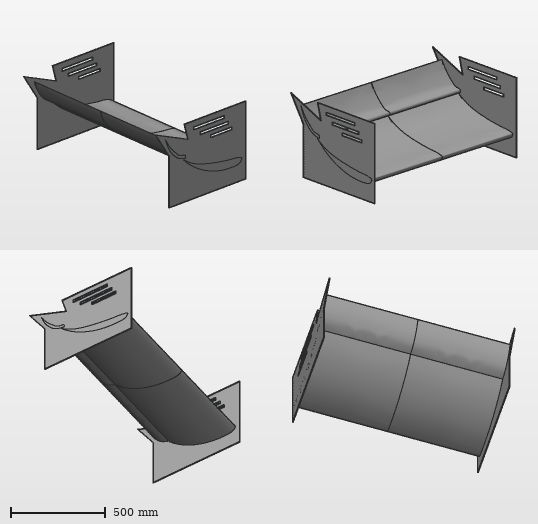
import cadquery as cq

SPAN = 1030.0
PLATE_THICKNESS = 5.0
PLATE_DEPTH = 647.0
PLATE_HEIGHT = 450.0
PANEL_LENGTH = SPAN / 2 - PLATE_THICKNESS

FOOT_FRONT_Y = 96.0
SHOULDER_Z = 300.0
NOTCH_TOP_Y = 206.0
NOTCH_ROOT_Y = 232.0
NOTCH_ROOT_Z = 355.0

SLOT_HEIGHT = 15.0
SLOTS = [(275.0, 493.0, 398.0), (320.0, 522.0, 355.0), (395.0, 547.0, 315.0)]

MAIN_TAIL = (201.0, 246.0)
MAIN_UPPER = [(299.0, 192.0), (433.0, 159.0), (536.0, 144.0), (608.0, 135.0)]
MAIN_NOSE = (621.0, 124.0)
MAIN_LOWER = [(556.0, 95.0), (433.0, 109.0), (299.0, 167.0)]
MAIN_NOSE_DIRECTION = (-0.3, -1)

FLAP_TAIL = (73.0, 400.0)
FLAP_UPPER = [(103.0, 350.0), (149.0, 299.0), (191.0, 273.0)]
FLAP_NOSE = (218.0, 256.0)
FLAP_LOWER = [(201.0, 252.0), (139.0, 284.0), (98.0, 338.0)]
FLAP_NOSE_DIRECTION = (0, -1)


def make_end_plate(start_x):
    """Flat plate with a forward horn, a notch in its top edge and three slots."""
    plate = (
        cq.Workplane("YZ", origin=(start_x, 0, 0))
        .polyline([
            (FOOT_FRONT_Y, 0),
            (PLATE_DEPTH, 0),
            (PLATE_DEPTH, PLATE_HEIGHT),
            (NOTCH_TOP_Y, PLATE_HEIGHT),
            (NOTCH_ROOT_Y, NOTCH_ROOT_Z),
            (0, PLATE_HEIGHT),
            (FOOT_FRONT_Y, SHOULDER_Z),
        ])
        .close()
        .extrude(PLATE_THICKNESS)
    )
    for front_y, back_y, bottom_z in SLOTS:
        slot = cq.Workplane("XY").box(
            PLATE_THICKNESS, back_y - front_y, SLOT_HEIGHT, centered=False
        )
        plate = plate.cut(slot.translate((start_x, front_y, bottom_z)))
    return plate


def make_wing_panel(start_x, tail, upper, nose, nose_direction, lower):
    """Airfoil section extruded along X over half of the span between the plates."""
    upper_tangents = [None] * (1 + len(upper)) + [nose_direction]
    lower_tangents = [nose_direction] + [None] * (len(lower) + 1)
    return (
        cq.Workplane("YZ", origin=(start_x, 0, 0))
        .moveTo(*tail)
        .spline([*upper, nose], tangents=upper_tangents, includeCurrent=True)
        .spline([*lower, tail], tangents=lower_tangents, includeCurrent=True)
        .close()
        .extrude(PANEL_LENGTH)
    )


def make_main_panel(start_x):
    return make_wing_panel(
        start_x, MAIN_TAIL, MAIN_UPPER, MAIN_NOSE, MAIN_NOSE_DIRECTION, MAIN_LOWER
    )


def make_flap_panel(start_x):
    return make_wing_panel(
        start_x, FLAP_TAIL, FLAP_UPPER, FLAP_NOSE, FLAP_NOSE_DIRECTION, FLAP_LOWER
    )


end_plates = [make_end_plate(x) for x in (-SPAN / 2, SPAN / 2 - PLATE_THICKNESS)]

panel_starts = (-PANEL_LENGTH, 0)
main_panels = [make_main_panel(x) for x in panel_starts]
flap_panels = [make_flap_panel(x) for x in panel_starts]

bodies = end_plates + main_panels + flap_panels
result = cq.Compound.makeCompound([body.val() for body in bodies])